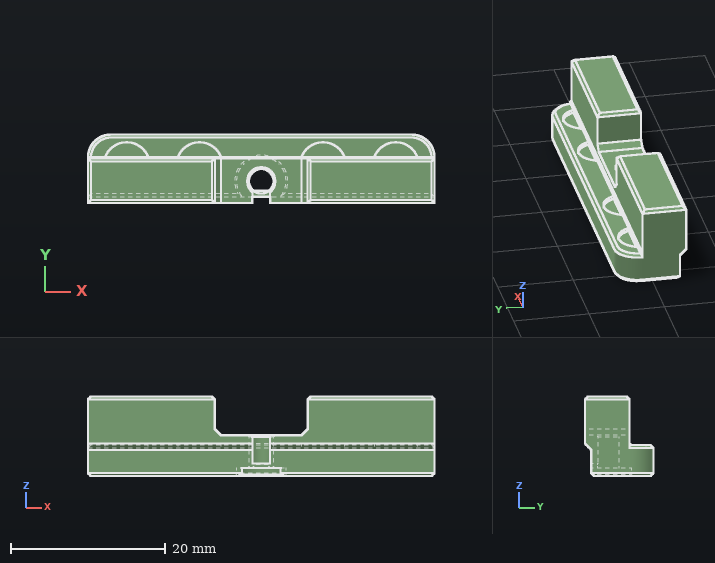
import cadquery as cq

length = 45.0
depth = 8.9
height = 10.35
edge_chamfer = 0.4

bar_depth = 5.8
step_depth = 0.8
step_top = 4.25

flange_height = 4.05
flange_corner_radius = 3.0

notch_width = 12.0
notch_floor = 5.3
notch_corner_chamfer = 0.8

hole_y = 2.85
hole_diameter = 3.2
hole_chamfer = 0.22
head_diameter = 6.4
head_depth = 1.1
head_chamfer = 0.22
slot_width = 2.3
slot_floor = 1.6
web_back = 1.6
web_step = 0.1

pocket_diameter = 6.0
pocket_depth = 0.4
pocket_y = 4.9
pocket_offsets = (8.0, 17.45)

bead_size = 0.2


def box(x_size, y_start, y_end, z_start, z_end):
    """Block centred on X between the given Y and Z limits."""
    return (
        cq.Workplane("XY", origin=(0, 0, z_start))
        .center(0, (y_start + y_end) / 2)
        .rect(x_size, y_end - y_start)
        .extrude(z_end - z_start)
    )


def cylinder(x, y, diameter, z_start, z_end):
    """Upright cylinder between two heights."""
    return (
        cq.Workplane("XY", origin=(x, y, z_start))
        .circle(diameter / 2)
        .extrude(z_end - z_start)
    )


def foot():
    """Low foot under the bar and flange, chamfered along its base and around the flange top."""
    low = box(length, step_depth, depth, 0, flange_height)
    low = low.edges("|Z and >Y").fillet(flange_corner_radius)
    low = low.faces("<Z or >Z").chamfer(edge_chamfer)
    under_bar = box(length, step_depth, bar_depth, edge_chamfer, flange_height)
    return low.union(under_bar)


def bar():
    """Upright bar with the stepped front, the notch and chamfered tops."""
    step_bottom = step_top - step_depth
    profile = [
        (step_depth, edge_chamfer),
        (step_depth, step_bottom),
        (0, step_top),
        (0, height),
        (bar_depth, height),
        (bar_depth, edge_chamfer),
    ]
    upright = cq.Workplane("YZ", origin=(-length / 2, 0, 0)).polyline(profile).close().extrude(length)
    return upright.cut(notch()).faces(">Z").chamfer(edge_chamfer)


def notch():
    """Notch through the bar with sloped lower corners."""
    wall_x = notch_width / 2
    floor_x = wall_x - notch_corner_chamfer
    slope_top = notch_floor + notch_corner_chamfer
    outline = [
        (-wall_x, height),
        (-wall_x, slope_top),
        (-floor_x, notch_floor),
        (floor_x, notch_floor),
        (wall_x, slope_top),
        (wall_x, height),
    ]
    return cq.Workplane("XZ").polyline(outline).close().extrude(-bar_depth)


def pockets():
    """Blind pockets in mirrored pairs in the flange top, each a circle cut straight at the bead."""
    floor = flange_height - pocket_depth
    cuts = cq.Workplane("XY")
    for offset in pocket_offsets:
        for x in (-offset, offset):
            cuts = cuts.add(cylinder(x, pocket_y, pocket_diameter, floor, flange_height))
    behind_bead = box(length, bar_depth + bead_size, depth, floor, flange_height)
    return cuts.combine().intersect(behind_bead)


def bead():
    """Small sloped bead where the back of the bar meets the flange top."""
    section = [
        (bar_depth, flange_height),
        (bar_depth + bead_size, flange_height),
        (bar_depth, flange_height + bead_size),
    ]
    return cq.Workplane("YZ", origin=(-length / 2, 0, 0)).polyline(section).close().extrude(length)


def cone(y, z_start, bottom_diameter, top_diameter, cone_height):
    """Upright cone frustum on the middle of the bar."""
    return (
        cq.Workplane("XY", origin=(0, y, z_start))
        .circle(bottom_diameter / 2)
        .workplane(offset=cone_height)
        .circle(top_diameter / 2)
        .loft()
    )


def screw_cut():
    """Chamfered screw hole with its head recess, and the front slot above a thin web."""
    shaft = cylinder(0, hole_y, hole_diameter, 0, notch_floor)
    web_top = slot_floor - web_step
    web = box(slot_width, step_depth, web_back, head_depth, web_top)
    slot = box(slot_width, 0, hole_y, slot_floor, notch_floor)
    hole_mouth = cone(
        hole_y, notch_floor - hole_chamfer, hole_diameter, hole_diameter + 2 * hole_chamfer, hole_chamfer
    )
    head = cylinder(0, hole_y, head_diameter, 0, head_depth)
    head_mouth = cone(hole_y, 0, head_diameter + 2 * head_chamfer, head_diameter, head_chamfer)
    return shaft.cut(web).union(slot).union(hole_mouth).union(head).union(head_mouth)


result = foot().cut(pockets()).union(bar()).union(bead()).cut(screw_cut())